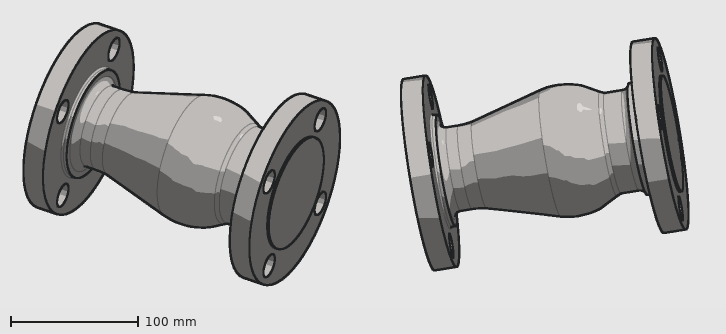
import cadquery as cq
import math

length = 203.5
flange_radius = 76.2
flange_thickness = 17.5
face_radius = 46.2
face_height = 1.5

hole_diameter = 19.1
bolt_circle_radius = 60.6
hole_count = 4
first_hole_angle = 45.0

hub_radius = 44.5
hub_root_fillet = 1.5
inlet_hub_length = 4.3
outlet_hub_length = 8.1

neck_fillet = 6.0
inlet_neck_radius = 33.4
outlet_neck_radius = 40.0
inlet_neck_end = 38.2
outlet_neck_start = 156.2

cone_start = 49.6
cone_start_radius = 34.5
bulb_start = 106.6
bulb_start_radius = 50.5
bulb_peak = 123.0
bulb_peak_radius = 52.0
bulb_shoulder = 139.8
bulb_shoulder_radius = 48.5
bulb_end = 152.5
bulb_end_radius = 41.5
bulb_end_slope = -0.5

inlet_flange_back = face_height + flange_thickness
outlet_flange_back = length - inlet_flange_back
inlet_hub_end = inlet_flange_back + inlet_hub_length
outlet_hub_start = outlet_flange_back - outlet_hub_length
cone_direction = (bulb_start - cone_start, bulb_start_radius - cone_start_radius)

outlet_fillet_angle = math.acos(1 - (hub_radius - outlet_neck_radius) / neck_fillet)
outlet_fillet_start = outlet_hub_start - neck_fillet * math.sin(outlet_fillet_angle)
outlet_fillet_middle = (
    outlet_fillet_start + neck_fillet * math.sin(outlet_fillet_angle / 2),
    outlet_neck_radius + neck_fillet * (1 - math.cos(outlet_fillet_angle / 2)),
)


def make_body():
    """Necks, hubs and bulb as one solid of revolution."""
    profile = (
        cq.Workplane("XY")
        .moveTo(inlet_flange_back, 0)
        .lineTo(inlet_flange_back, hub_radius + hub_root_fillet)
        .radiusArc((inlet_flange_back + hub_root_fillet, hub_radius), -hub_root_fillet)
        .lineTo(inlet_hub_end, hub_radius)
        .lineTo(inlet_hub_end, inlet_neck_radius + neck_fillet)
        .radiusArc((inlet_hub_end + neck_fillet, inlet_neck_radius), -neck_fillet)
        .lineTo(inlet_neck_end, inlet_neck_radius)
        .tangentArcPoint((cone_start, cone_start_radius), relative=False)
        .lineTo(bulb_start, bulb_start_radius)
        .spline(
            [
                (bulb_peak, bulb_peak_radius),
                (bulb_shoulder, bulb_shoulder_radius),
                (bulb_end, bulb_end_radius),
            ],
            tangents=[cone_direction, (1, bulb_end_slope)],
            includeCurrent=True,
        )
        .tangentArcPoint((outlet_neck_start, outlet_neck_radius), relative=False)
        .lineTo(outlet_fillet_start, outlet_neck_radius)
        .threePointArc(outlet_fillet_middle, (outlet_hub_start, hub_radius))
        .lineTo(outlet_flange_back - hub_root_fillet, hub_radius)
        .radiusArc((outlet_flange_back, hub_radius + hub_root_fillet), -hub_root_fillet)
        .lineTo(outlet_flange_back, 0)
        .close()
    )
    return profile.revolve(360, (0, 0, 0), (1, 0, 0))


def make_flange(back, outward):
    """Drilled disc with a raised face, extending from its back along +X or -X."""
    disc = cq.Workplane("YZ", origin=(back, 0, 0)).circle(flange_radius).extrude(outward * flange_thickness)
    holes = (
        cq.Workplane("YZ", origin=(back, 0, 0))
        .polarArray(bolt_circle_radius, first_hole_angle, 360, hole_count)
        .circle(hole_diameter / 2)
        .extrude(outward * flange_thickness)
    )
    raised_face = (
        cq.Workplane("YZ", origin=(back + outward * flange_thickness, 0, 0))
        .circle(face_radius)
        .extrude(outward * face_height)
    )
    return disc.cut(holes).union(raised_face)


inlet_flange = make_flange(inlet_flange_back, -1)
outlet_flange = make_flange(outlet_flange_back, 1)
result = make_body().union(inlet_flange).union(outlet_flange)